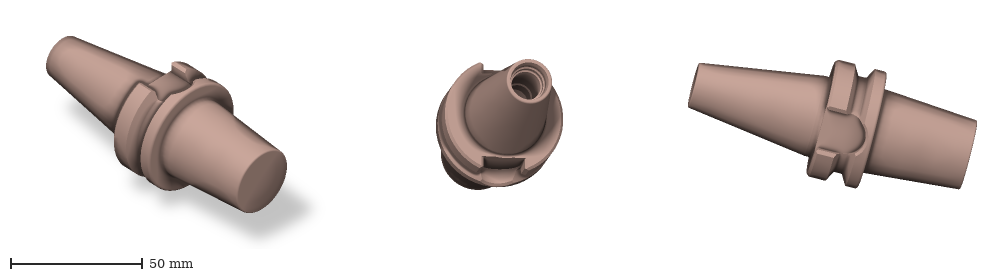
import cadquery as cq
import math

total_length = 108.4
gauge_x = 48.3
taper_end_x = 46.7
collar_start_x = 47.6
flange_front_x = 50.3
groove_front_x = 57.8
groove_rear_x = 65.7
flange_rear_x = 70.4

taper_ratio = 7 / 24
gauge_radius = 15.8
collar_radius = 15.7
nose_fillet = 0.7
collar_fillet = 1.0

flange_radius = 23.0
flange_chamfer = 1.0
flange_rear_fillet = 1.0
groove_radius = 18.9
groove_flank_angle = 30.0
groove_fillet = 0.7

rear_radius = 13.5
rear_taper_angle = 4.5
rear_root_fillet = 0.9
rear_edge_fillet = 0.7

slot_half_width = 8.0
slot_floor = 16.4
slot_arc_center_x = 59.6
slot_entry_chamfer = 1.0
slot_side_chamfer_width = 1.5
slot_side_chamfer_inner_z = 20.2
slot_end_chamfer = 1.0

mouth_radius = 7.4
recess_radius = 6.9
pilot_radius = 6.3
thread_radius = 5.6
drill_radius = 5.0
mouth_depth = 2.2
recess_depth = 4.4
pilot_depth = 6.9
thread_depth = 23.8
drill_depth = 30.4
step_length = 0.3
drill_point_angle = 118.0


def radius_at(x):
    """Radius of the 7/24 taper at axial station x."""
    return gauge_radius + (x - gauge_x) * taper_ratio / 2


def fillet_ring(body, x, edge_radius, fillet_radius):
    """Round the circular edge of the given radius at station x."""
    tolerance = 0.001

    def is_ring(edge):
        same_station = abs(edge.Center().x - x) < tolerance
        return same_station and abs(edge.radius() - edge_radius) < tolerance

    return body.edges("%CIRCLE").filter(is_ring).fillet(fillet_radius)


def make_body():
    """Turned body: shank, collar, grooved flange and tool-side nose."""
    flank_run = (flange_radius - groove_radius) * math.tan(math.radians(groove_flank_angle))
    rear_root_radius = rear_radius + (total_length - flange_rear_x) * math.tan(math.radians(rear_taper_angle))
    groove_bottom_front_x = groove_front_x + flank_run
    groove_bottom_rear_x = groove_rear_x - flank_run
    profile = [
        (0, 0),
        (0, radius_at(0)),
        (taper_end_x, radius_at(taper_end_x)),
        (collar_start_x, collar_radius),
        (flange_front_x, collar_radius),
        (flange_front_x, flange_radius - flange_chamfer),
        (flange_front_x + flange_chamfer, flange_radius),
        (groove_front_x, flange_radius),
        (groove_bottom_front_x, groove_radius),
        (groove_bottom_rear_x, groove_radius),
        (groove_rear_x, flange_radius),
        (flange_rear_x, flange_radius),
        (flange_rear_x, rear_root_radius),
        (total_length, rear_radius),
        (total_length, 0),
    ]
    body = cq.Workplane("XY").polyline(profile).close().revolve(360, (0, 0, 0), (1, 0, 0))
    fillets = [
        (0, radius_at(0), nose_fillet),
        (flange_front_x, collar_radius, collar_fillet),
        (groove_bottom_front_x, groove_radius, groove_fillet),
        (groove_bottom_rear_x, groove_radius, groove_fillet),
        (flange_rear_x, flange_radius, flange_rear_fillet),
        (flange_rear_x, rear_root_radius, rear_root_fillet),
        (total_length, rear_radius, rear_edge_fillet),
    ]
    for x, edge_radius, fillet_radius in fillets:
        body = fillet_ring(body, x, edge_radius, fillet_radius)
    return body


def make_slot():
    """Round-ended slot above the floor, open to the front with bevelled entry corners."""
    entry_half_width = slot_half_width + slot_entry_chamfer
    return (
        cq.Workplane("XY", origin=(0, 0, slot_floor))
        .moveTo(flange_front_x, -entry_half_width)
        .lineTo(flange_front_x + slot_entry_chamfer, -slot_half_width)
        .lineTo(slot_arc_center_x, -slot_half_width)
        .threePointArc(
            (slot_arc_center_x + slot_half_width, 0),
            (slot_arc_center_x, slot_half_width),
        )
        .lineTo(flange_front_x + slot_entry_chamfer, slot_half_width)
        .lineTo(flange_front_x, entry_half_width)
        .close()
        .extrude(flange_radius - slot_floor)
    )


def make_side_bevels():
    """Wedge that bevels the top edges of both straight slot walls."""
    outer_y = slot_half_width + slot_side_chamfer_width
    outer_z = math.sqrt(flange_radius**2 - outer_y**2)
    return (
        cq.Workplane("YZ", origin=(flange_front_x, 0, 0))
        .polyline([
            (-slot_half_width, slot_side_chamfer_inner_z),
            (slot_half_width, slot_side_chamfer_inner_z),
            (outer_y, outer_z),
            (outer_y, flange_radius),
            (-outer_y, flange_radius),
            (-outer_y, outer_z),
        ])
        .close()
        .extrude(slot_arc_center_x - flange_front_x)
    )


def cut_drive_slots(body):
    """Cut both drive slots and bevel their rims."""
    slot = make_slot().union(make_side_bevels())
    body = body.cut(slot).cut(slot.mirror("XY"))
    rim_margin = 0.5
    for side in (-1, 1):
        rim = cq.selectors.BoxSelector(
            (groove_rear_x + rim_margin, -slot_half_width, side * (flange_radius - rim_margin)),
            (flange_rear_x - flange_rear_fillet, slot_half_width, side * (flange_radius + rim_margin)),
        )
        body = body.edges(rim).chamfer(slot_end_chamfer)
    return body


def make_bore():
    """Bore narrowing in short conical steps, ending in a drill point."""
    point_length = drill_radius / math.tan(math.radians(drill_point_angle / 2))
    profile = [
        (0, 0),
        (0, mouth_radius),
        (mouth_depth, recess_radius),
        (recess_depth, recess_radius),
        (recess_depth + step_length, pilot_radius),
        (pilot_depth, pilot_radius),
        (pilot_depth + step_length, thread_radius),
        (thread_depth, thread_radius),
        (thread_depth + step_length, drill_radius),
        (drill_depth, drill_radius),
        (drill_depth + point_length, 0),
    ]
    return cq.Workplane("XY").polyline(profile).close().revolve(360, (0, 0, 0), (1, 0, 0))


result = cut_drive_slots(make_body()).cut(make_bore())